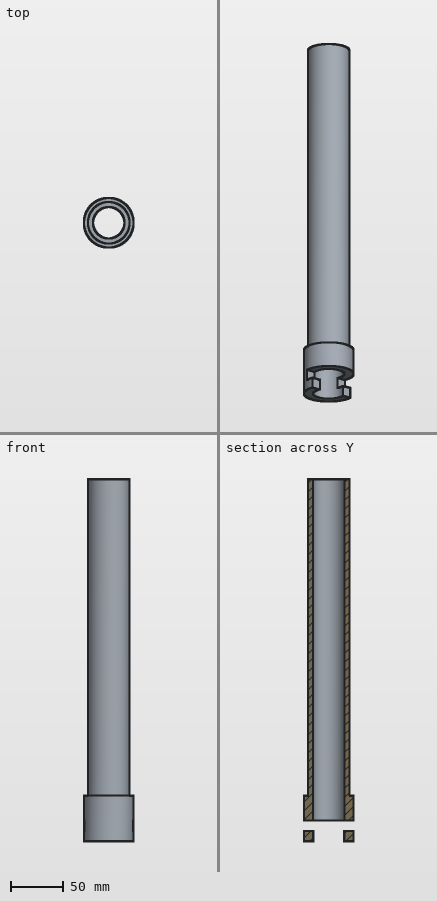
import cadquery as cq

total_height = 348.0
bore_diameter = 30.0
tube_diameter = 40.0
collar_diameter = 48.0
collar_height = 44.0

hook_height = 10.0
slot_top = 20.0
hook_tip_y = 4.0
slot_wall_y = -4.0


def make_tube():
    """Long tube with a wider collar at its foot, bored from end to end."""
    collar = cq.Workplane("XY").circle(collar_diameter / 2).extrude(collar_height)
    tube = cq.Workplane("XY").circle(tube_diameter / 2).extrude(total_height)
    bore = cq.Workplane("XY").circle(bore_diameter / 2).extrude(total_height)
    return collar.union(tube).cut(bore)


def make_hook_cut():
    """Stepped opening on the +Y side, running through the collar along X."""
    outer_y = collar_diameter / 2
    outline = [
        (outer_y, 0),
        (hook_tip_y, 0),
        (hook_tip_y, hook_height),
        (slot_wall_y, hook_height),
        (slot_wall_y, slot_top),
        (outer_y, slot_top),
    ]
    return cq.Workplane("YZ").polyline(outline).close().extrude(collar_diameter / 2, both=True)


result = make_tube().cut(make_hook_cut())